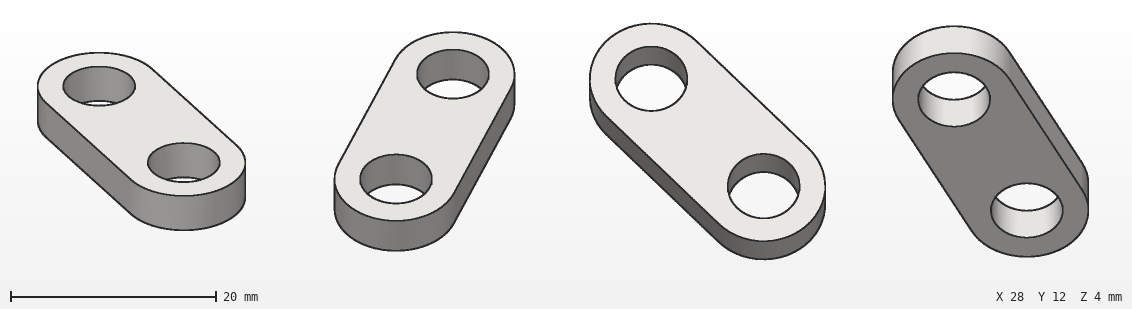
import cadquery as cq

length = 28.0
width = 12.0
thickness = 4.0
hole_diameter = 7.0

hole_spacing = length - width


def link_body():
    """Flat plate with fully rounded ends, resting on Z = 0."""
    return cq.Workplane("XY").slot2D(length, width).extrude(thickness)


def drill_end_holes(body):
    """Cut a through hole at the centre of each rounded end."""
    hole_centres = [(-hole_spacing / 2, 0), (hole_spacing / 2, 0)]
    return body.faces(">Z").workplane().pushPoints(hole_centres).hole(hole_diameter)


result = drill_end_holes(link_body())